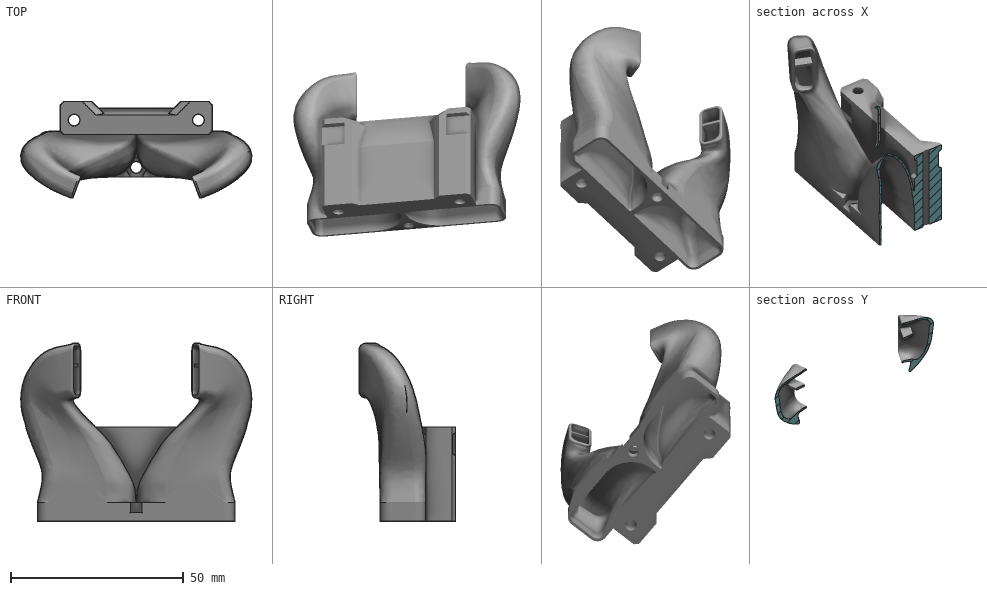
import cadquery as cq
import math

BASE_LENGTH = 57.3
BASE_DEPTH = 13.2
BASE_HEIGHT = 5.5
BASE_CORNER_RADIUS = 3.0

SCREW_DIAMETER = 3.3
BASE_SCREW_Y = 2.8
NUT_ACROSS_CORNERS = 6.6
NUT_POCKET_DEPTH = 3.0

BLOCK_LENGTH = 44.1
BLOCK_FRONT_Y = 12.3
BLOCK_BACK_Y = 21.95
BLOCK_HEIGHT = 27.4
BLOCK_CHAMFER = 1.1
BLOCK_SCREW_X = 18.0
BLOCK_SCREW_Y = 16.5

NOTCH_TOP_HALF_WIDTH = 15.7
NOTCH_TOP_FLOOR_Y = 17.95
NOTCH_LOW_FLOOR_Y = 20.0
NOTCH_RAMP_HEIGHT = 9.0
NOTCH_FLARE_INSET = 2.8
NOTCH_FLARE_HEIGHT = 2.0

RECESS_INNER_X = 15.1
RECESS_DEPTH = 1.0
RECESS_BOTTOM_Z = 19.0
RECESS_TOP_Z = 25.7
RECESS_TAPER = 0.6

WALL = 0.8
PASSAGE_CORNER_EASE = 1.15
RIM_LENGTH = 0.6
RIM_ROUNDING = 0.4
NOZZLE_X = -17.76
NOZZLE_Y = -2.79
NOZZLE_TOP_Z = 51.64
NOZZLE_BOTTOM_Z = 35.75
NOZZLE_WIDTH = 6.95
NOZZLE_TURN = 20.8
NOZZLE_CORNER = 2.2
VANE_Z = 45.2
VANE_THICKNESS = 0.9
VANE_LENGTH = 3.0

DUCT_SECTIONS = [
    ((-BASE_LENGTH / 2, BASE_DEPTH / 2, BASE_HEIGHT), (0, BASE_DEPTH / 2, BASE_HEIGHT),
     BASE_DEPTH, BASE_DEPTH, 0, BASE_CORNER_RADIUS, 8.4, 1.3),
    ((-27.8, 6.7, 8.7), (-0.3, 6.3, 8.7), 13.3, 12.7, 0, 3.2, 8.3, 1.3),
    ((-27.1, 6.8, 12.7), (-1.6, 5.4, 12.2), 13.6, 11.2, 0, 3.5, 7.5, 1.3),
    ((-29.2, 7.8, 20.5), (-6.6, 3.7, 20.5), 13.4, 8.7, 6, 4.5, 6.0, 1.3),
    ((-32.8, 7.8, 31.3), (-12.6, 1.8, 27.4), 11.2, 7.4, 20, 5.0, 5.0, 1.3),
    ((-31.9, 6.6, 41.0), (-19.1, -1.0, 33.6), 9.0, 7.2, 32, 4.0, 4.0, 1.3),
    ((-26.8, 2.0, 48.3), (-19.1, -2.2, 35.4), 7.6, 7.0, 26, 2.6, 3.0, 1.8),
    ((-22.0, -1.0, 50.6), (-18.3, -2.5, 35.6), 7.1, NOZZLE_WIDTH, 22, 2.3, 2.5, 2.0),
    ((NOZZLE_X, NOZZLE_Y, NOZZLE_TOP_Z), (NOZZLE_X, NOZZLE_Y, NOZZLE_BOTTOM_Z),
     NOZZLE_WIDTH, NOZZLE_WIDTH, NOZZLE_TURN, NOZZLE_CORNER, NOZZLE_CORNER, NOZZLE_CORNER),
]

BLOCK_MIDDLE_Y = (BLOCK_FRONT_Y + BLOCK_BACK_Y) / 2


def box(x_range, y_range, z_range):
    """Box between two limits on each axis."""
    size = [high - low for low, high in (x_range, y_range, z_range)]
    corner = (x_range[0], y_range[0], z_range[0])
    return cq.Workplane("XY").box(*size, centered=False).translate(corner)


def screw_hole(x, y, height):
    """Vertical screw clearance from the bottom of the part up to a height."""
    return cq.Workplane("XY").center(x, y).circle(SCREW_DIAMETER / 2).extrude(height)


def make_base():
    base = (
        cq.Workplane("XY")
        .center(0, BASE_DEPTH / 2)
        .rect(BASE_LENGTH, BASE_DEPTH)
        .extrude(BASE_HEIGHT)
        .edges("|Z")
        .fillet(BASE_CORNER_RADIUS)
    )
    nut_pocket = (
        cq.Workplane("XY", origin=(0, BASE_SCREW_Y, BASE_HEIGHT - NUT_POCKET_DEPTH))
        .polygon(6, NUT_ACROSS_CORNERS)
        .extrude(NUT_POCKET_DEPTH)
    )
    return base.cut(nut_pocket).cut(screw_hole(0, BASE_SCREW_Y, BASE_HEIGHT))


def notch_outline(half_width, floor_y, z):
    """Notch outline at height z; the half width is taken at the back face of the block."""
    floor_half_width = half_width - (BLOCK_BACK_Y - floor_y)
    return (
        cq.Workplane("XY", origin=(0, 0, z))
        .moveTo(-half_width, BLOCK_BACK_Y)
        .lineTo(-floor_half_width, floor_y)
        .lineTo(floor_half_width, floor_y)
        .lineTo(half_width, BLOCK_BACK_Y)
        .close()
    )


def make_notch():
    low_half_width = NOTCH_TOP_HALF_WIDTH - NOTCH_FLARE_INSET
    ramp_bottom_z = BLOCK_HEIGHT - NOTCH_RAMP_HEIGHT
    floor = (
        cq.Workplane("YZ", origin=(-BLOCK_LENGTH / 2, 0, 0))
        .moveTo(BLOCK_BACK_Y, 0)
        .lineTo(NOTCH_LOW_FLOOR_Y, 0)
        .lineTo(NOTCH_LOW_FLOOR_Y, ramp_bottom_z)
        .lineTo(NOTCH_TOP_FLOOR_Y, BLOCK_HEIGHT)
        .lineTo(BLOCK_BACK_Y, BLOCK_HEIGHT)
        .close()
        .extrude(BLOCK_LENGTH)
    )
    flare_z = BLOCK_HEIGHT - NOTCH_FLARE_HEIGHT
    sides = notch_outline(low_half_width, NOTCH_TOP_FLOOR_Y, 0).extrude(flare_z)
    low_floor_half = low_half_width - (BLOCK_BACK_Y - NOTCH_TOP_FLOOR_Y)
    top_floor_half = low_floor_half + NOTCH_FLARE_INSET
    flare = (
        notch_outline(low_half_width, NOTCH_TOP_FLOOR_Y, flare_z)
        .workplane(offset=NOTCH_FLARE_HEIGHT)
        .moveTo(-NOTCH_TOP_HALF_WIDTH, BLOCK_BACK_Y)
        .lineTo(-top_floor_half, NOTCH_TOP_FLOOR_Y)
        .lineTo(top_floor_half, NOTCH_TOP_FLOOR_Y)
        .lineTo(NOTCH_TOP_HALF_WIDTH, BLOCK_BACK_Y)
        .close()
        .loft(ruled=True)
    )
    return sides.union(flare).intersect(floor)


def make_recess():
    """Recess with sloping top and bottom at the left end of the block's back face."""
    return (
        cq.Workplane("YZ", origin=(-BLOCK_LENGTH / 2, 0, 0))
        .moveTo(BLOCK_BACK_Y, RECESS_BOTTOM_Z)
        .lineTo(BLOCK_BACK_Y, RECESS_TOP_Z)
        .lineTo(BLOCK_BACK_Y - RECESS_DEPTH, RECESS_TOP_Z - RECESS_TAPER)
        .lineTo(BLOCK_BACK_Y - RECESS_DEPTH, RECESS_BOTTOM_Z + RECESS_TAPER)
        .close()
        .extrude(BLOCK_LENGTH / 2 - RECESS_INNER_X)
    )


def make_block():
    block = (
        cq.Workplane("XY")
        .center(0, BLOCK_MIDDLE_Y)
        .rect(BLOCK_LENGTH, BLOCK_BACK_Y - BLOCK_FRONT_Y)
        .extrude(BLOCK_HEIGHT)
        .edges("|Z")
        .chamfer(BLOCK_CHAMFER)
    )
    back_recess = make_recess()
    front_recess = back_recess.mirror("XZ", (0, BLOCK_MIDDLE_Y, 0))
    for recess in (back_recess, front_recess):
        block = block.cut(recess).cut(recess.mirror("YZ"))
    for side in (-1, 1):
        block = block.cut(screw_hole(side * BLOCK_SCREW_X, BLOCK_SCREW_Y, BLOCK_HEIGHT))
    return block.cut(make_notch())


def corner_points(before, corner, after, radius):
    """Start, middle and end of the arc that rounds a corner between two neighbouring corners."""
    to_before = (before - corner).normalized()
    to_after = (after - corner).normalized()
    half_angle = to_before.getAngle(to_after) / 2
    setback = radius / math.tan(half_angle)
    middle_reach = radius / math.sin(half_angle) - radius
    middle = corner + (to_before + to_after).normalized() * middle_reach
    return corner + to_before * setback, middle, corner + to_after * setback


def section_wire(section, inset):
    """Closed outline of one duct section, moved inward by inset on all sides."""
    outer, inner, outer_width, inner_width, turn, outer_r, front_r, back_r = section
    along = cq.Vector(*inner) - cq.Vector(*outer)
    angle = math.radians(turn)
    across = cq.Vector(math.sin(angle), math.cos(angle), 0)
    plane = cq.Plane(origin=outer, xDir=along, normal=along.cross(across))
    outer_x, inner_x = inset, along.Length - inset
    outer_y, inner_y = outer_width / 2 - inset, inner_width / 2 - inset
    outer_r, back_r = outer_r - inset, back_r - inset
    if inset > 0:
        front_r = front_r * PASSAGE_CORNER_EASE
    corners = [
        cq.Vector(outer_x, -outer_y),
        cq.Vector(inner_x, -inner_y),
        cq.Vector(inner_x, inner_y),
        cq.Vector(outer_x, outer_y),
    ]
    radii = [outer_r, front_r, back_r, outer_r]
    arcs = [
        corner_points(corners[i - 1], corners[i], corners[(i + 1) % len(corners)], radii[i])
        for i in range(len(corners))
    ]
    outline = cq.Workplane(plane).moveTo(*arcs[-1][-1].toTuple()[:2])
    for start, middle, end in arcs:
        outline = outline.lineTo(start.x, start.y).threePointArc((middle.x, middle.y), (end.x, end.y))
    return outline.close().val()


def loft_duct(inset):
    wires = [section_wire(section, inset) for section in DUCT_SECTIONS]
    return cq.Workplane(cq.Solid.makeLoft(wires))


def nozzle_rim(inset):
    """Straight end of the left duct, from the last section to the nozzle face."""
    turn = math.radians(NOZZLE_TURN)
    reach = cq.Vector(math.cos(turn), -math.sin(turn), 0) * RIM_LENGTH
    face = cq.Face.makeFromWires(section_wire(DUCT_SECTIONS[-1], inset))
    return cq.Workplane(cq.Solid.extrudeLinear(face, reach))


def make_duct_body():
    """Solid outside shape of the left duct with a rounded nozzle rim."""
    outward = cq.Vector(math.cos(math.radians(NOZZLE_TURN)), -math.sin(math.radians(NOZZLE_TURN)), 0)
    rim = nozzle_rim(0).faces(cq.DirectionMinMaxSelector(outward)).edges().fillet(RIM_ROUNDING)
    return loft_duct(0).union(rim)


def make_vane():
    """Plate across the nozzle opening, running back from the rim."""
    vane = box(
        (-VANE_LENGTH, 0),
        (WALL / 2 - NOZZLE_WIDTH / 2, NOZZLE_WIDTH / 2 - WALL / 2),
        (VANE_Z - VANE_THICKNESS / 2, VANE_Z + VANE_THICKNESS / 2),
    )
    return vane.rotate((0, 0, 0), (0, 0, 1), -NOZZLE_TURN).translate((NOZZLE_X, NOZZLE_Y, 0))


def make_air_passage():
    """Inside of the left duct, from the inlet under the base to the nozzle."""
    inlet_face = cq.Face.makeFromWires(section_wire(DUCT_SECTIONS[0], WALL))
    inlet = cq.Workplane(cq.Solid.extrudeLinear(inlet_face, cq.Vector(0, 0, -BASE_HEIGHT)))
    return inlet.union(loft_duct(WALL)).union(nozzle_rim(WALL)).cut(make_vane())


frame = make_base().union(make_block())
left_frame = frame.intersect(box((-BASE_LENGTH, 0), (0, BLOCK_BACK_Y), (0, BLOCK_HEIGHT)))
left_half = left_frame.union(make_duct_body()).cut(make_air_passage())
result = left_half.union(left_half.mirror("YZ"))